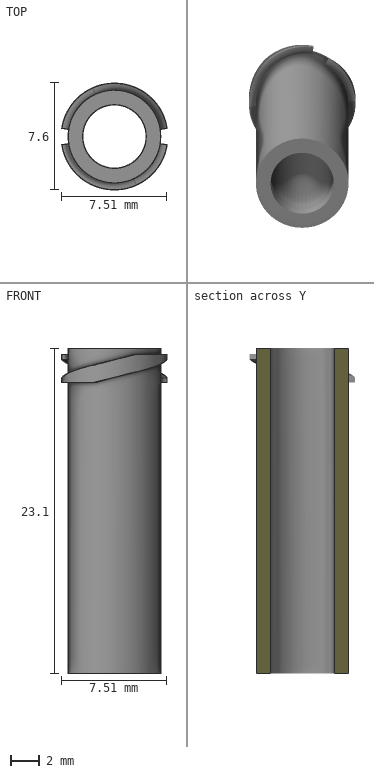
import cadquery as cq
import math

length = 23.14
outer_radius = 3.3
bore_radius = 2.25

lug_count = 2
lug_radius = 3.8
lug_top_setback = 0.42
lug_band_height = 2.02
thread_lead = 5.7
flat_start_angle = 24.2
end_gap_half_angle = 8.8
front_angle = 270.0

lug_bottom = length - lug_top_setback - lug_band_height
lug_root_radius = (outer_radius + bore_radius) / 2
oversize_radius = 1.5 * lug_radius
lug_half_angle = 180.0 / lug_count - end_gap_half_angle
twist_angle = 360.0 * lug_band_height / thread_lead
thread_sector_angle = twist_angle - 2 * flat_start_angle


def polar(radius, angle):
    """Point in the XY plane at a radius and an angle in degrees."""
    return (radius * math.cos(math.radians(angle)), radius * math.sin(math.radians(angle)))


def ring_sector(start_angle, end_angle, inner, outer):
    """Closed outline of part of a ring, on the plane at the bottom of the lugs."""
    middle_angle = (start_angle + end_angle) / 2
    return (
        cq.Workplane("XY", origin=(0, 0, lug_bottom))
        .moveTo(*polar(inner, start_angle))
        .lineTo(*polar(outer, start_angle))
        .threePointArc(polar(outer, middle_angle), polar(outer, end_angle))
        .lineTo(*polar(inner, end_angle))
        .threePointArc(polar(inner, middle_angle), polar(inner, start_angle))
        .close()
    )


def make_tube():
    return cq.Workplane("XY").circle(outer_radius).circle(bore_radius).extrude(length)


def make_lug():
    """Square-profile thread, flat above and below, with radial ends."""
    leading_angle = front_angle - flat_start_angle
    thread = ring_sector(
        leading_angle - thread_sector_angle, leading_angle, lug_root_radius, oversize_radius
    ).twistExtrude(lug_band_height, twist_angle)
    trim = ring_sector(
        front_angle - lug_half_angle, front_angle + lug_half_angle, bore_radius, lug_radius
    ).extrude(lug_band_height)
    return thread.intersect(trim)


lug = make_lug()
result = make_tube()
for index in range(lug_count):
    result = result.union(lug.rotate((0, 0, 0), (0, 0, 1), index * 360.0 / lug_count))